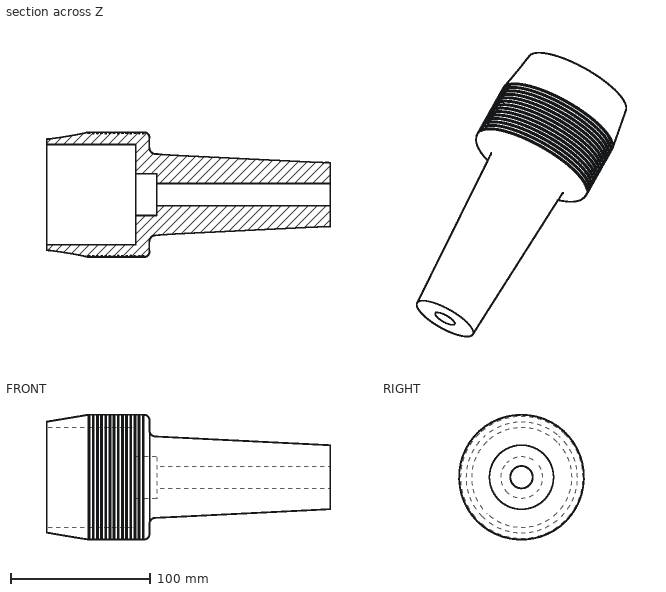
import cadquery as cq
import math

total_length = 204.0
collar_end = 74.0
cone_length = 30.0
bore_depth = 64.0
counterbore_depth = 15.0

nose_diameter = 80.0
collar_diameter = 90.0
shank_root_diameter = 59.2
bore_diameter = 72.0
counterbore_diameter = 30.0
through_hole_diameter = 16.0

shank_taper = 0.1

collar_round = 4.0
shank_fillet = 4.0
groove_count = 14
groove_width = 1.0
groove_depth = 1.0

shank_tip_diameter = shank_root_diameter - shank_taper * (total_length - collar_end)

taper_angle = math.atan(shank_taper / 2)
fillet_center_x = collar_end + shank_fillet
fillet_center_radius = (
    shank_root_diameter / 2 - shank_fillet * math.tan(taper_angle) + shank_fillet / math.cos(taper_angle)
)
fillet_end = fillet_center_x - shank_fillet * math.sin(taper_angle)
fillet_end_radius = fillet_center_radius - shank_fillet * math.cos(taper_angle)

grooved_length = collar_end - collar_round - cone_length
groove_pitch = (grooved_length - groove_width) / (groove_count - 1)


def cylinder(diameter, start, length):
    """Solid cylinder along +X beginning at x = start."""
    return cq.Workplane("YZ").workplane(offset=start).circle(diameter / 2).extrude(length)


def make_body():
    """Solid of revolution about X: nose cone, collar and tapered shank."""
    profile = (
        cq.Workplane("XZ")
        .moveTo(0, 0)
        .lineTo(0, nose_diameter / 2)
        .lineTo(cone_length, collar_diameter / 2)
        .lineTo(collar_end - collar_round, collar_diameter / 2)
        .radiusArc((collar_end, collar_diameter / 2 - collar_round), collar_round)
        .lineTo(collar_end, fillet_center_radius)
        .radiusArc((fillet_end, fillet_end_radius), -shank_fillet)
        .lineTo(total_length, shank_tip_diameter / 2)
        .lineTo(total_length, 0)
        .close()
    )
    return profile.revolve(360, (0, 0, 0), (1, 0, 0))


def cut_grooves(body):
    """Evenly spaced V grooves around the collar."""
    collar_radius = collar_diameter / 2
    for index in range(groove_count):
        start = cone_length + index * groove_pitch
        section = (
            cq.Workplane("XZ")
            .moveTo(start, collar_radius)
            .lineTo(start + groove_width / 2, collar_radius - groove_depth)
            .lineTo(start + groove_width, collar_radius)
            .close()
        )
        body = body.cut(section.revolve(360, (0, 0, 0), (1, 0, 0)))
    return body


def cut_bores(body):
    """Wide sleeve bore, counterbore in its floor and a through hole."""
    body = body.cut(cylinder(bore_diameter, 0, bore_depth))
    body = body.cut(cylinder(counterbore_diameter, bore_depth, counterbore_depth))
    return body.cut(cylinder(through_hole_diameter, 0, total_length))


result = cut_bores(cut_grooves(make_body()))